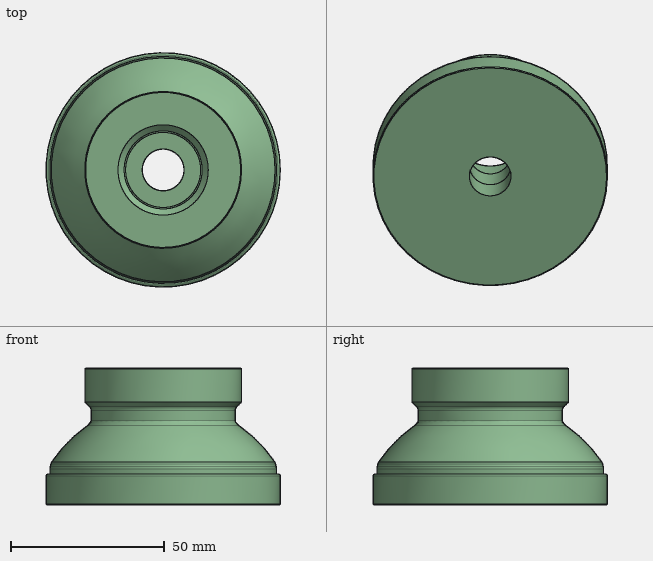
import cadquery as cq
import math

pad_radius = 38.1
pad_height = 10.1
pad_top_round = 0.8
pad_bottom_chamfer = 0.3

total_height = 44.45
head_radius = 51.0 / 2
head_bottom = 33.4
head_chamfer = 0.3
neck_radius = 47.0 / 2
neck_top = 30.7
neck_bottom = 27.45
undercut_radius = 24.1
undercut_bottom = 32.0
dome_top_radius = 24.55
dome_top = 25.85
dome_bottom_radius = 36.4
dome_bottom = 13.9
dome_bulge = 0.8
bevel_radius = 36.6
bevel_bottom = 13.2
shoulder_radius = 36.75
shoulder_top = 12.5
skirt_radius = 36.9
skirt_top = 11.6

through_radius = 13.5 / 2
bore_radius = 25.4 / 2
bore_chamfer = 2.0
bore_bottom = 29.5
lower_bore_radius = 12.2
lower_bore_bottom = 19.8


def dome_midpoint():
    """Middle of the dome arc, pushed outward from the middle of its chord."""
    run = dome_bottom_radius - dome_top_radius
    drop = dome_top - dome_bottom
    chord = math.hypot(run, drop)
    radius = (dome_top_radius + dome_bottom_radius) / 2 + dome_bulge * drop / chord
    height = (dome_top + dome_bottom) / 2 + dome_bulge * run / chord
    return radius, height


def make_pad():
    """Rounded ring with the through hole on its axis."""
    pad = cq.Workplane("XY").circle(pad_radius).extrude(pad_height)
    pad = pad.faces(">Z").edges().fillet(pad_top_round)
    pad = pad.faces("<Z").edges().chamfer(pad_bottom_chamfer)
    hole = cq.Workplane("XY").circle(through_radius).extrude(pad_height)
    return pad.cut(hole)


def make_housing():
    """Half section, radius by height, revolved about Z."""
    section = (
        cq.Workplane("XZ")
        .moveTo(through_radius, pad_height)
        .lineTo(skirt_radius, pad_height)
        .lineTo(skirt_radius, skirt_top)
        .tangentArcPoint((shoulder_radius, shoulder_top), relative=False)
        .lineTo(bevel_radius, bevel_bottom)
        .lineTo(dome_bottom_radius, dome_bottom)
        .threePointArc(dome_midpoint(), (dome_top_radius, dome_top))
        .spline(
            [(neck_radius, neck_bottom)],
            tangents=[(-1, 1), (0, 1)],
            includeCurrent=True,
        )
        .lineTo(neck_radius, neck_top)
        .tangentArcPoint((undercut_radius, undercut_bottom), relative=False)
        .lineTo(head_radius, head_bottom)
        .lineTo(head_radius, total_height - head_chamfer)
        .lineTo(head_radius - head_chamfer, total_height)
        .lineTo(bore_radius + bore_chamfer, total_height)
        .lineTo(bore_radius, total_height - bore_chamfer)
        .lineTo(bore_radius, bore_bottom)
        .lineTo(lower_bore_radius, bore_bottom)
        .lineTo(lower_bore_radius, lower_bore_bottom)
        .lineTo(through_radius, lower_bore_bottom)
        .close()
    )
    return section.revolve(360, (0, 0, 0), (0, 1, 0))


pad = make_pad()
housing = make_housing()
result = cq.Compound.makeCompound([pad.val(), housing.val()])